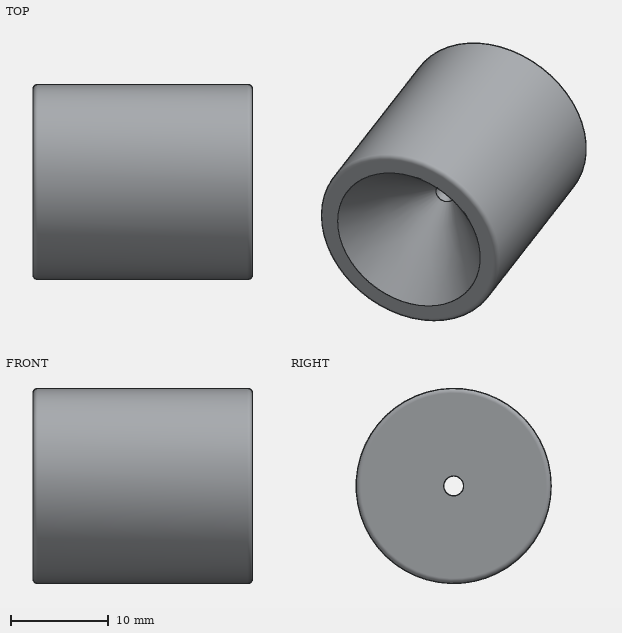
import cadquery as cq

length = 22.5
outer_diameter = 20.0
edge_radius = 0.5
funnel_mouth_diameter = 16.0
bore_diameter = 2.0
funnel_depth = 9.0


def sleeve_body():
    """Solid cylinder along X with both rims rounded."""
    cylinder = cq.Workplane("YZ").circle(outer_diameter / 2).extrude(length)
    return cylinder.edges("%CIRCLE").fillet(edge_radius)


def funnel_and_bore():
    """Conical funnel from the -X face that narrows into a through bore."""
    mouth_radius = funnel_mouth_diameter / 2
    bore_radius = bore_diameter / 2
    half_section = (
        cq.Workplane("XY")
        .moveTo(0, 0)
        .lineTo(0, mouth_radius)
        .lineTo(funnel_depth, bore_radius)
        .lineTo(length, bore_radius)
        .lineTo(length, 0)
        .close()
    )
    return half_section.revolve(360, (0, 0, 0), (1, 0, 0))


result = sleeve_body().cut(funnel_and_bore())